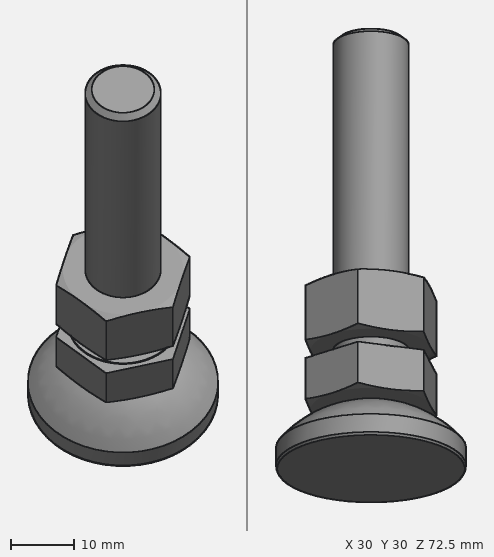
import cadquery as cq
import math

total_height = 72.5

foot_radius = 15.0
rim_height = 3.5
bottom_chamfer_height = 0.4
bottom_chamfer_inset = 0.2
dome_top_radius = 4.5
dome_top = 10.0
dome_sphere_radius = 19.5

across_flats = 19.0
corner_radius = across_flats / math.sqrt(3)
bevel_angle = math.radians(16)

collar_top = 17.3
washer_face_radius = 8.7
washer_face_height = 0.2

stud_diameter = 11.95
stud_radius = stud_diameter / 2
tip_radius = 4.9
tip_chamfer_height = 0.9
stud_root_fillet = 0.4

nut_bottom = 20.0
nut_height = 10.0


def cylinder(radius, bottom, top):
    return cq.Workplane("XY").workplane(offset=bottom).circle(radius).extrude(top - bottom)


def hexagon(bottom, height, bevel_top):
    """Hexagonal prism with conically bevelled corners below and, if wanted, above."""
    prism = (
        cq.Workplane("XY")
        .workplane(offset=bottom)
        .polygon(6, 2 * corner_radius)
        .extrude(height)
    )
    flat_radius = across_flats / 2
    bevel_height = (corner_radius - flat_radius) * math.tan(bevel_angle)
    top = bottom + height
    profile = (
        cq.Workplane("XZ")
        .moveTo(0, bottom)
        .lineTo(flat_radius, bottom)
        .lineTo(corner_radius, bottom + bevel_height)
    )
    if bevel_top:
        profile = profile.lineTo(corner_radius, top - bevel_height).lineTo(flat_radius, top)
    else:
        profile = profile.lineTo(corner_radius, top)
    envelope = profile.lineTo(0, top).close().revolve(360, (0, 0, 0), (0, 1, 0))
    return prism.intersect(envelope)


def make_plate():
    """Round plate with a spherical upper face."""
    rim_drop = math.sqrt(dome_sphere_radius**2 - foot_radius**2)
    sphere_center = rim_height - rim_drop
    middle_radius = (foot_radius + dome_top_radius) / 2
    middle_height = sphere_center + math.sqrt(dome_sphere_radius**2 - middle_radius**2)
    return (
        cq.Workplane("XZ")
        .lineTo(foot_radius - bottom_chamfer_inset, 0)
        .lineTo(foot_radius, bottom_chamfer_height)
        .lineTo(foot_radius, rim_height)
        .threePointArc((middle_radius, middle_height), (dome_top_radius, dome_top))
        .lineTo(0, dome_top)
        .close()
        .revolve(360, (0, 0, 0), (0, 1, 0))
    )


def make_stud():
    """Stud with a flared root and a chamfered tip."""
    root = collar_top + washer_face_height
    fillet_reach = stud_root_fillet * (1 - math.sqrt(0.5))
    return (
        cq.Workplane("XZ")
        .moveTo(0, root)
        .lineTo(stud_radius + stud_root_fillet, root)
        .threePointArc(
            (stud_radius + fillet_reach, root + fillet_reach),
            (stud_radius, root + stud_root_fillet),
        )
        .lineTo(stud_radius, total_height - tip_chamfer_height)
        .lineTo(tip_radius, total_height)
        .lineTo(0, total_height)
        .close()
        .revolve(360, (0, 0, 0), (0, 1, 0))
    )


def make_foot():
    """Plate, hexagonal collar and stud in one piece."""
    collar = hexagon(dome_top, collar_top - dome_top, bevel_top=False)
    washer_face = cylinder(washer_face_radius, collar_top, collar_top + washer_face_height)
    return make_plate().union(collar).union(washer_face).union(make_stud())


def make_lock_nut():
    """Hexagonal nut with a plain bore that fits the stud."""
    bore = cylinder(stud_radius, nut_bottom, nut_bottom + nut_height)
    return hexagon(nut_bottom, nut_height, bevel_top=True).cut(bore)


foot = make_foot()
lock_nut = make_lock_nut()
result = cq.Compound.makeCompound([*foot.solids().vals(), *lock_nut.solids().vals()])